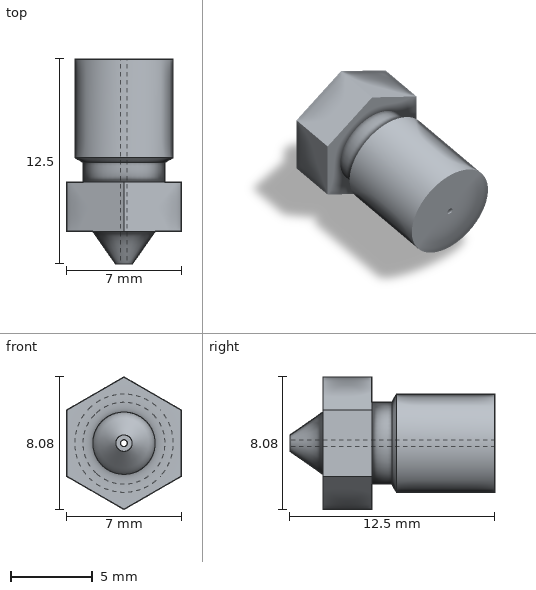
import cadquery as cq
import math

total_length = 12.5
tip_length = 2.0
hex_length = 3.0
neck_and_chamfer_length = 1.5

hex_across_flats = 7.0
body_diameter = 6.0
neck_diameter = 5.0
cone_base_diameter = 3.8
tip_diameter = 1.0
orifice_diameter = 0.4
chamfer_angle = 30.0

tip_y = -total_length / 2
hex_front_y = tip_y + tip_length
hex_back_y = hex_front_y + hex_length
body_front_y = hex_back_y + neck_and_chamfer_length
body_back_y = tip_y + total_length

chamfer_length = (body_diameter - neck_diameter) / 2 * math.tan(math.radians(chamfer_angle))
neck_back_y = body_front_y - chamfer_length


def turned_nozzle():
    """Revolve the conical tip, neck and body around the Y axis."""
    profile = [
        (0, tip_y),
        (tip_diameter / 2, tip_y),
        (cone_base_diameter / 2, hex_front_y),
        (cone_base_diameter / 2, hex_back_y),
        (neck_diameter / 2, hex_back_y),
        (neck_diameter / 2, neck_back_y),
        (body_diameter / 2, body_front_y),
        (body_diameter / 2, body_back_y),
        (0, body_back_y),
    ]
    return cq.Workplane("XY").polyline(profile).close().revolve(360, (0, 0, 0), (0, 1, 0))


def hex_flange():
    """Hexagon with two flats facing +X and -X and corners at the top and bottom."""
    across_corners = hex_across_flats / math.cos(math.radians(30))
    return (
        cq.Workplane("XZ", origin=(0, hex_back_y, 0))
        .transformed(rotate=(0, 0, 90))
        .polygon(6, across_corners)
        .extrude(hex_length)
    )


def orifice():
    """Straight bore along the full length of the nozzle."""
    return cq.Workplane("XZ", origin=(0, body_back_y, 0)).circle(orifice_diameter / 2).extrude(total_length)


result = turned_nozzle().union(hex_flange()).cut(orifice())